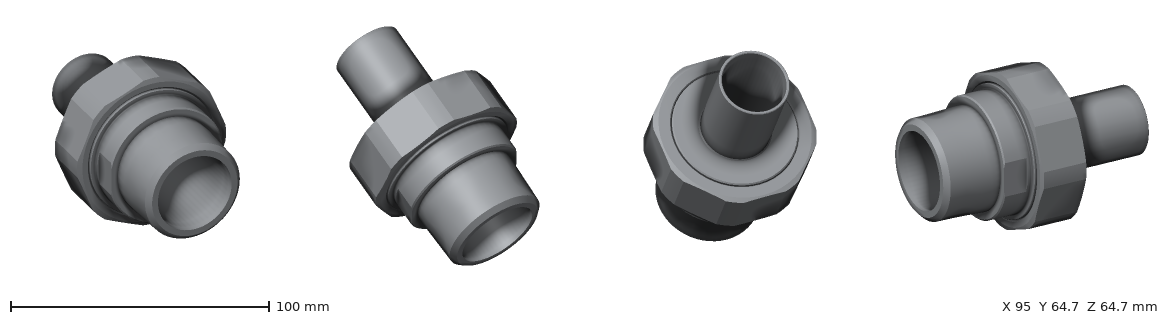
import cadquery as cq
import math


tube_diameter = 28.0
tube_bore = 25.6
tube_edge_chamfer = 0.3
weld_ring_diameter = 29.2
weld_ring_start = 37.3
collar_diameter = 50.0
collar_start = 37.7
collar_chamfer = 0.5

nut_start = 38.3
nut_end = 58.4
nut_across_flats = 62.1
nut_corner_diameter = 64.7
nut_face_diameter = 60.6
nut_chamfer_length = 0.6
nut_sides = 8
nut_lip_bore = 50.5
nut_lip_thickness = 5.4
nut_lip_chamfer = 0.5
nut_thread_diameter = 54.3
nut_mouth_diameter = 55.9

flange_start = nut_start + nut_lip_thickness
flange_thickness = 3.8
joint_x = flange_start + flange_thickness

body_bore = 32.0
thread_end = 59.1
thread_edge_chamfer = 0.2
hub_diameter = 50.0
hub_root_fillet = 0.5
hub_end = 71.0
hub_end_chamfer = 0.6
hub_flat_start = 60.9
hub_across_flats = 47.9
neck_length = 0.6
taper_large_diameter = 42.7
taper_small_diameter = 41.2
end_chamfer = 2.1
total_length = 95.0


def revolve_about_x(outline):
    """Turn an outline of (x, radius) points around the X axis."""
    return cq.Workplane("XY").polyline(outline).close().revolve(360, (0, 0, 0), (1, 0, 0))


def make_tailpiece():
    tube_radius = tube_diameter / 2
    bore_radius = tube_bore / 2
    collar_radius = collar_diameter / 2
    flange_radius = nut_thread_diameter / 2
    return revolve_about_x([
        (tube_edge_chamfer, bore_radius),
        (0, bore_radius + tube_edge_chamfer),
        (0, tube_radius - tube_edge_chamfer),
        (tube_edge_chamfer, tube_radius),
        (weld_ring_start, tube_radius),
        (collar_start, weld_ring_diameter / 2),
        (collar_start, collar_radius - collar_chamfer),
        (collar_start + collar_chamfer, collar_radius),
        (flange_start, collar_radius),
        (flange_start, flange_radius),
        (joint_x, flange_radius),
        (joint_x, bore_radius),
    ])


def make_nut():
    octagon_diameter = nut_across_flats / math.cos(math.pi / nut_sides)
    prism = (
        cq.Workplane("YZ", origin=(nut_start, 0, 0))
        .polygon(nut_sides, octagon_diameter)
        .extrude(nut_end - nut_start)
    )

    corner_radius = nut_corner_diameter / 2
    face_radius = nut_face_diameter / 2
    lip_radius = nut_lip_bore / 2
    thread_radius = nut_thread_diameter / 2
    mouth_radius = nut_mouth_diameter / 2
    mouth_chamfer = mouth_radius - thread_radius
    envelope = revolve_about_x([
        (nut_start, lip_radius + nut_lip_chamfer),
        (nut_start, face_radius),
        (nut_start + nut_chamfer_length, corner_radius),
        (nut_end - nut_chamfer_length, corner_radius),
        (nut_end, face_radius),
        (nut_end, mouth_radius),
        (nut_end - mouth_chamfer, thread_radius),
        (flange_start, thread_radius),
        (flange_start, lip_radius),
        (nut_start + nut_lip_chamfer, lip_radius),
    ])
    return prism.intersect(envelope)


def make_male_body():
    bore_radius = body_bore / 2
    thread_radius = nut_thread_diameter / 2
    hub_radius = hub_diameter / 2
    taper_large_radius = taper_large_diameter / 2
    taper_small_radius = taper_small_diameter / 2
    fillet_mid = hub_root_fillet * (1 - math.sqrt(0.5))
    body = (
        cq.Workplane("XY")
        .moveTo(joint_x, bore_radius)
        .lineTo(joint_x, thread_radius)
        .lineTo(thread_end - thread_edge_chamfer, thread_radius)
        .lineTo(thread_end, thread_radius - thread_edge_chamfer)
        .lineTo(thread_end, hub_radius + hub_root_fillet)
        .threePointArc(
            (thread_end + fillet_mid, hub_radius + fillet_mid),
            (thread_end + hub_root_fillet, hub_radius),
        )
        .lineTo(hub_end - hub_end_chamfer, hub_radius)
        .lineTo(hub_end, hub_radius - hub_end_chamfer)
        .lineTo(hub_end, taper_large_radius)
        .lineTo(hub_end + neck_length, taper_large_radius)
        .lineTo(total_length - end_chamfer, taper_small_radius)
        .lineTo(total_length, taper_small_radius - end_chamfer)
        .lineTo(total_length, bore_radius)
        .close()
        .revolve(360, (0, 0, 0), (1, 0, 0))
    )

    for side in (-1, 1):
        flat_cutter = cq.Workplane("XY").box(
            hub_end - hub_flat_start, hub_diameter, hub_diameter
        ).translate((
            (hub_flat_start + hub_end) / 2,
            side * (hub_across_flats + hub_diameter) / 2,
            0,
        ))
        body = body.cut(flat_cutter)
    return body


tailpiece = make_tailpiece()
nut = make_nut()
male_body = make_male_body()

result = cq.Compound.makeCompound([
    tailpiece.solids().val(),
    nut.solids().val(),
    male_body.solids().val(),
])